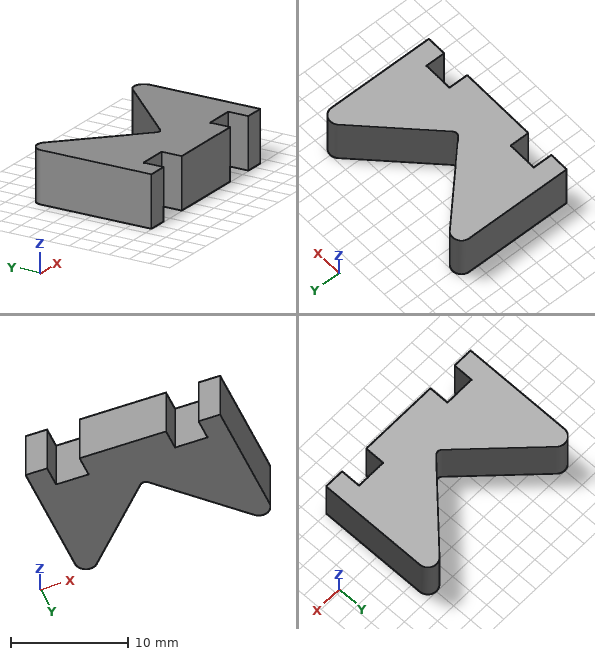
import cadquery as cq
import math

length = 18.0
depth = 12.0
thickness = 5.0

tip_radius = 1.0
valley_radius = 0.5
flank_angle = math.radians(45)

foot_width = 2.0
slot_width = 3.0
slot_depth = 2.0

half_length = length / 2
tip_center_x = half_length - tip_radius
tip_center_y = depth - tip_radius

flank_x = tip_center_x - tip_radius * math.sin(flank_angle)
flank_y = tip_center_y + tip_radius * math.cos(flank_angle)
valley_y = flank_y - flank_x * math.tan(flank_angle)


def make_body():
    """Extruded block with rounded horns and a V notch."""
    body = (
        cq.Workplane("XY")
        .moveTo(-half_length, 0)
        .lineTo(half_length, 0)
        .lineTo(half_length, tip_center_y)
        .threePointArc((tip_center_x, depth), (flank_x, flank_y))
        .lineTo(0, valley_y)
        .lineTo(-flank_x, flank_y)
        .threePointArc((-tip_center_x, depth), (-half_length, tip_center_y))
        .close()
        .extrude(thickness)
    )
    valley_edge = cq.selectors.NearestToPointSelector((0, valley_y, thickness / 2))
    return body.edges(valley_edge).fillet(valley_radius)


def make_slots():
    """Pair of rectangular slots through the full thickness."""
    slot_center_x = half_length - foot_width - slot_width / 2
    return (
        cq.Workplane("XY")
        .pushPoints([(side * slot_center_x, slot_depth / 2) for side in (-1, 1)])
        .rect(slot_width, slot_depth)
        .extrude(thickness)
    )


result = make_body().cut(make_slots())